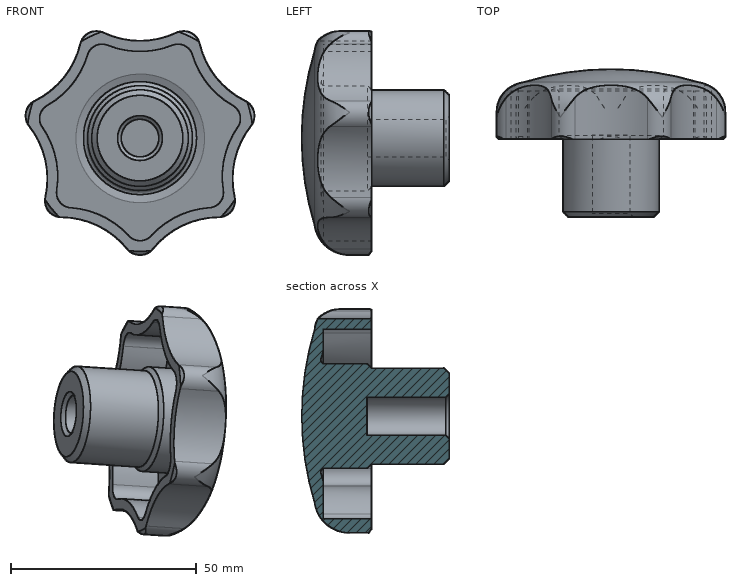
import cadquery as cq
import math

lobe_count = 7
lobe_pitch = 360 / lobe_count

head_radius = 31.5
lobe_round = 4.5
scallop_reach = 26.2
dome_height = 18.85
dome_edge_height = 15.4
dome_edge_radius = 23.3
shoulder_start = 6.0
rim_chamfer_width = 1.05
rim_chamfer_height = 0.8

pocket_radius = 27.6
pocket_lobe_round = 4.05
pocket_scallop_reach = 23.3
pocket_depth = 13.0

hub_radius = 13.0
hub_length = 20.95
hub_chamfer = 1.5
collar_radius = 14.1
groove_inner_radius = 15.2
groove_outer_radius = 17.3
groove_cone_depth = 0.6
groove_bottom = pocket_depth + groove_cone_depth

bore_radius = 5.05
bore_mouth_radius = 6.05
bore_depth = 22.2


def polar(radius, degrees):
    angle = math.radians(degrees)
    return (radius * math.cos(angle), radius * math.sin(angle))


def between(start, end, fraction):
    return tuple(a + fraction * (b - a) for a, b in zip(start, end))


def lobed_prism(tip_radius, tip_round, reach, height):
    """Prism of rounded lobes joined by tangent concave arcs, one lobe toward -Z."""
    tip_centre = tip_radius - tip_round
    cosine = math.cos(math.radians(lobe_pitch / 2))
    scallop_radius = (
        (tip_centre**2 + reach**2 - 2 * tip_centre * reach * cosine - tip_round**2)
        / (2 * (tip_round + tip_centre * cosine - reach))
    )
    touch_fraction = tip_round / (tip_round + scallop_radius)

    def touch_point(tip_angle, side):
        lobe = polar(tip_centre, tip_angle)
        scallop = polar(reach + scallop_radius, tip_angle + side * lobe_pitch / 2)
        return between(lobe, scallop, touch_fraction)

    first_angle = -90
    outline = cq.Workplane("XZ").moveTo(*touch_point(first_angle, -1))
    for index in range(lobe_count):
        angle = first_angle + index * lobe_pitch
        outline = outline.threePointArc(polar(tip_radius, angle), touch_point(angle, 1))
        outline = outline.threePointArc(
            polar(reach, angle + lobe_pitch / 2), touch_point(angle + lobe_pitch, -1)
        )
    return outline.close().extrude(-height)


def domed_blank():
    """Turned envelope of the head: rim chamfer, side, rounded shoulder and dome."""
    dome_rise = dome_height - dome_edge_height
    dome_radius = (dome_edge_radius**2 + dome_rise**2) / (2 * dome_rise)
    half_angle = math.asin(dome_edge_radius / dome_radius) / 2
    dome_middle = (
        dome_radius * math.sin(half_angle),
        dome_height - dome_radius * (1 - math.cos(half_angle)),
    )
    return (
        cq.Workplane("XY")
        .lineTo(head_radius - rim_chamfer_width, 0)
        .lineTo(head_radius, rim_chamfer_height)
        .lineTo(head_radius, shoulder_start)
        .tangentArcPoint((dome_edge_radius, dome_edge_height), relative=False)
        .threePointArc(dome_middle, (0, dome_height))
        .close()
        .revolve(360, (0, 0), (0, 1))
    )


def groove():
    """Conical relief in the pocket floor around the collar."""
    return (
        cq.Workplane("XY")
        .moveTo(collar_radius, pocket_depth)
        .lineTo(groove_outer_radius, pocket_depth)
        .lineTo(groove_inner_radius, groove_bottom)
        .lineTo(collar_radius, groove_bottom)
        .close()
        .revolve(360, (0, 0), (0, 1))
    )


def hub():
    """Stepped hub with a chamfered end and a fillet where it meets the groove bottom."""
    root_round = groove_inner_radius - collar_radius
    step = collar_radius - hub_radius
    return (
        cq.Workplane("XY")
        .moveTo(0, -hub_length)
        .lineTo(hub_radius - hub_chamfer, -hub_length)
        .lineTo(hub_radius, -hub_length + hub_chamfer)
        .lineTo(hub_radius, 0)
        .lineTo(collar_radius, step)
        .lineTo(collar_radius, groove_bottom - root_round)
        .radiusArc((groove_inner_radius, groove_bottom), root_round)
        .lineTo(0, groove_bottom)
        .close()
        .revolve(360, (0, 0), (0, 1))
    )


def bore():
    """Blind bore with a 45 degree lead-in."""
    lead_in = bore_mouth_radius - bore_radius
    return (
        cq.Workplane("XY")
        .moveTo(0, -hub_length)
        .lineTo(bore_mouth_radius, -hub_length)
        .lineTo(bore_radius, -hub_length + lead_in)
        .lineTo(bore_radius, -hub_length + bore_depth)
        .lineTo(0, -hub_length + bore_depth)
        .close()
        .revolve(360, (0, 0), (0, 1))
    )


head = lobed_prism(head_radius, lobe_round, scallop_reach, dome_height).intersect(domed_blank())
pocket = lobed_prism(pocket_radius, pocket_lobe_round, pocket_scallop_reach, pocket_depth)

result = head.cut(pocket).cut(groove()).union(hub()).cut(bore())